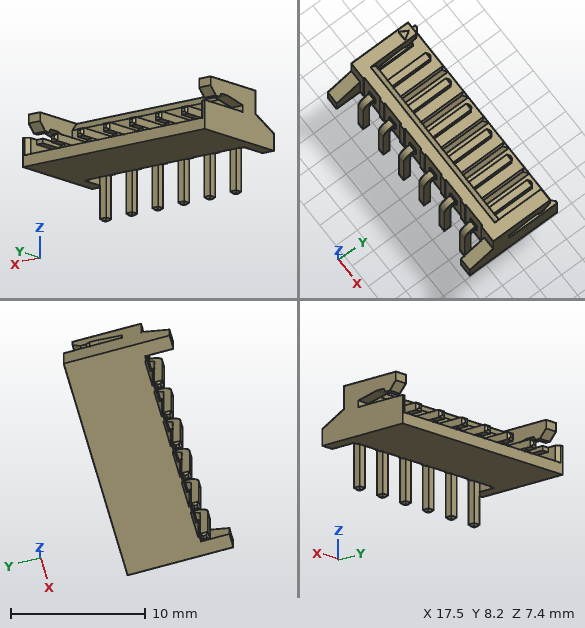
import cadquery as cq
import math


length = 17.5
depth = 8.2
height = 4.2
overall_height = 7.4
side_thickness = 1.1
front_y = 2.2
back_wall_y = 3.7
floor_z = 0.9
side_wall_z = 2.24
side_wall_thickness = 0.5
side_wall_chamfer = 0.3
foot_tip_z = 1.31
foot_root_z = 2.4
wall_bevel_run = 0.5
wall_bevel_drop = 0.63

shelf_end_y = 7.18
shelf_thickness = 0.37

arm_tip_y = 7.52
arm_tip_z = 3.52
hook_tip_y = 6.9
hook_root_y = 6.48
hook_z = 2.85
arm_thin_tip_y = 6.23
arm_thin_root_y = 5.56
arm_thin_z = 3.13
arm_root_z = 2.75

mark_x = 0.55
mark_width = 0.8
mark_base_y = 6.53
mark_length = 0.66
mark_depth = 0.14

pin_count = 6
pin_pitch = 2.5
pin_size = 0.6
pin_z = 2.0
pin_y = 1.49
pin_end_y = 7.68
pin_end_z = height - overall_height
bend_radius = 0.7
tip_length = 0.18
tip_size = pin_size - 2 * tip_length

panel_width = 2.01
panel_depth = 0.1
collar_size = 0.8
ridge_width = 0.6
ridge_height = 0.4
hip_length = 0.38

pin_xs = [length / 2 + (i - (pin_count - 1) / 2) * pin_pitch for i in range(pin_count)]
ridge_xs = [(a + b) / 2 for a, b in zip(pin_xs, pin_xs[1:])]


def block(x0, x1, y0, y1, z0, z1):
    """Box given by its limits along each axis."""
    return cq.Workplane("XY").box(x1 - x0, y1 - y0, z1 - z0, centered=False).translate((x0, y0, z0))


def extrude_side_profile(points, x0, x1):
    """Extrude a (Y, Z) outline from x0 to x1."""
    return cq.Workplane("YZ").polyline(points).close().extrude(x1 - x0).translate((x0, 0, 0))


def make_center():
    """Floor and tall wall, with the bevel on the wall's upper mating edge."""
    profile = [
        (front_y, 0),
        (depth, 0),
        (depth, floor_z),
        (back_wall_y, floor_z),
        (back_wall_y, height - wall_bevel_drop),
        (back_wall_y - wall_bevel_run, height),
        (front_y, height),
    ]
    return extrude_side_profile(profile, side_wall_thickness, length - side_wall_thickness)


def make_left_side():
    """Side wall, mounting foot, latch arm and shelf at the X = 0 end."""
    foot = [
        (0, 0),
        (back_wall_y, 0),
        (back_wall_y, height),
        (front_y, height),
        (front_y, foot_root_z),
        (0, foot_tip_z),
    ]
    arm = [
        (front_y, height),
        (arm_tip_y, height),
        (arm_tip_y, arm_tip_z),
        (hook_tip_y, hook_z),
        (hook_root_y, hook_z),
        (arm_thin_tip_y, arm_thin_z),
        (arm_thin_root_y, arm_thin_z),
        (back_wall_y, arm_root_z),
        (front_y, arm_root_z),
    ]
    side_wall = (
        block(0, side_wall_thickness, front_y, depth, 0, side_wall_z)
        .edges("|Z and >X and >Y")
        .chamfer(side_wall_chamfer)
    )
    base = block(0, side_wall_thickness, front_y, depth, 0, floor_z)
    shelf = block(0, side_thickness, front_y, shelf_end_y, side_wall_z - shelf_thickness, side_wall_z)
    side = extrude_side_profile(foot, 0, side_thickness)
    side = side.union(extrude_side_profile(arm, 0, side_thickness))
    return side.union(side_wall).union(base).union(shelf)


def make_panel_recess(x):
    """Shallow full-height recess in the front face, leaving a collar around the pin."""
    recess = block(x - panel_width / 2, x + panel_width / 2, front_y, front_y + panel_depth, 0, height)
    half = collar_size / 2
    collar = block(x - half, x + half, front_y, front_y + panel_depth, pin_z - half, pin_z + half)
    return recess.cut(collar)


def make_ridge(x):
    """Roof-shaped ridge on the floor with a hipped mating end."""
    half = ridge_width / 2
    ridge = (
        cq.Workplane("XZ", origin=(x, depth, floor_z))
        .polyline([(-half, 0), (half, 0), (0, ridge_height)])
        .close()
        .extrude(depth - back_wall_y)
    )
    hip = [(depth, floor_z), (depth, floor_z + ridge_height), (depth - hip_length, floor_z + ridge_height)]
    return ridge.cut(extrude_side_profile(hip, x - half, x + half))


def make_tip(plane):
    """Tapered end of a pin, growing along the plane's normal."""
    return (
        cq.Workplane(plane)
        .rect(pin_size, pin_size)
        .workplane(offset=tip_length)
        .rect(tip_size, tip_size)
        .loft(ruled=True)
    )


def make_pin(x):
    """Square pin bent through 90 degrees, with both ends tapered."""
    leg_end_y = pin_end_y - tip_length
    leg_end_z = pin_end_z + tip_length
    bend_y = pin_y + bend_radius
    bend_z = pin_z - bend_radius
    bend_mid = bend_radius * math.sqrt(0.5)
    path = (
        cq.Workplane("YZ", origin=(x, 0, 0))
        .moveTo(pin_y, leg_end_z)
        .lineTo(pin_y, bend_z)
        .threePointArc((bend_y - bend_mid, bend_z + bend_mid), (bend_y, pin_z))
        .lineTo(leg_end_y, pin_z)
    )
    legs = cq.Workplane("XY", origin=(x, pin_y, leg_end_z)).rect(pin_size, pin_size).sweep(path)
    mating_plane = cq.Plane(origin=(x, leg_end_y, pin_z), xDir=(1, 0, 0), normal=(0, 1, 0))
    solder_plane = cq.Plane(origin=(x, pin_y, leg_end_z), xDir=(1, 0, 0), normal=(0, 0, -1))
    return legs.union(make_tip(mating_plane)).union(make_tip(solder_plane))


def make_mark():
    """Triangular pin-one mark pointing toward the mating side."""
    half = mark_width / 2
    return (
        cq.Workplane("XY", origin=(mark_x, mark_base_y, height - mark_depth))
        .polyline([(-half, 0), (half, 0), (0, mark_length)])
        .close()
        .extrude(mark_depth)
    )


left_side = make_left_side()
right_side = left_side.mirror("YZ").translate((length, 0, 0))
result = make_center().union(left_side).union(right_side)

for pin_x in pin_xs:
    result = result.cut(make_panel_recess(pin_x))
for ridge_x in ridge_xs:
    result = result.union(make_ridge(ridge_x))
for pin_x in pin_xs:
    result = result.union(make_pin(pin_x))

result = result.cut(make_mark())